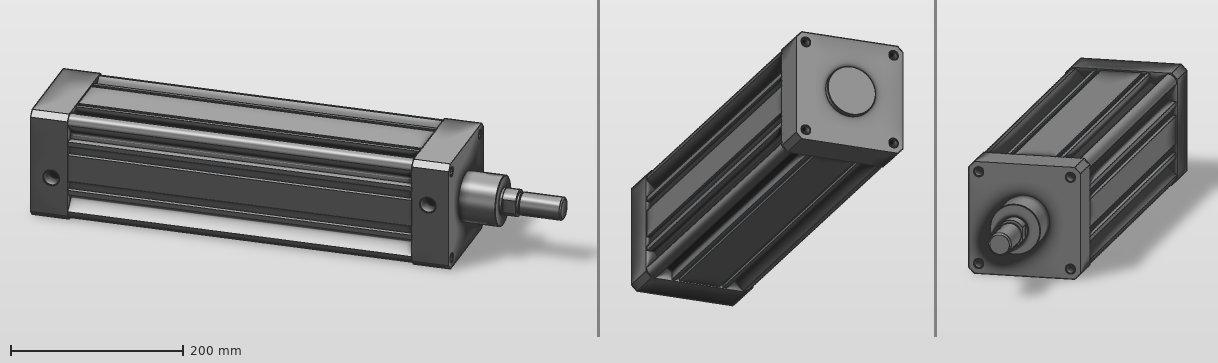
import cadquery as cq
import math


total_length = 635.0
rear_boss_length = 6.5
cap_length = 45.0
tube_length = 419.0
front_boss_length = 45.0
tube_start = rear_boss_length + cap_length
tube_end = tube_start + tube_length
rod_start = tube_end + cap_length + front_boss_length

cap_side = 134.0
cap_corner_chamfer = 7.0
boss_diameter = 60.5
boss_chamfer = 0.5
bolt_spacing = 110.0
bolt_hole_diameter = 10.0
bolt_hole_depth = 19.0
port_diameter = 18.5
port_depth = 19.0
port_height = 14.0
port_inset = 25.5
hole_chamfer = 0.95

tube_half_side = 66.0
lobe_center = bolt_spacing / 2
lobe_radius = tube_half_side - lobe_center
valley_outer = 42.5
valley_inner = 37.5
valley_level = tube_half_side - (lobe_center - valley_outer)
valley_sag = (valley_outer - valley_inner) / 2 * math.tan(math.pi / 8)
land_level = 65.5
land_foot_rise = 2.0
land_foot_level = valley_level + land_foot_rise
groove_depth = 4.0

side_land_edge = 33.5
side_groove_outer = 28.0
side_groove_inner = 16.5
side_groove_lean = 0.95
top_land_edge = 34.0
top_groove_outer = 30.0
top_groove_inner = 25.0
top_groove_lean = 0.0

collar_diameter = 32.5
collar_length = 3.0
rod_diameter = 32.0
shank_length = 1.0
flats_length = 15.0
wrench_width = 27.0
neck_diameter = 25.0
neck_length = 2.5
thread_diameter = 27.0
thread_chamfer = 2.0


def cylinder_along_x(start, length, diameter):
    return cq.Workplane("YZ", origin=(start, 0, 0)).circle(diameter / 2).extrude(length)


def chamfered_hole(entry, inward, diameter, depth):
    """Cutting tool for a blind hole whose mouth widens in a small 45 degree chamfer."""
    radius = diameter / 2
    bore = cq.Solid.makeCylinder(radius, depth, entry, inward)
    mouth = cq.Solid.makeCone(radius + hole_chamfer, radius, hole_chamfer, entry, inward)
    return cq.Workplane(bore.fuse(mouth))


def end_cap(tube_face, outward, boss_length, port_z):
    """Square cap on one end of the tube; outward is -1 for the rear cap and +1 for the front cap."""
    outer_face = tube_face + outward * cap_length
    cap = (
        cq.Workplane("YZ", origin=(tube_face, 0, 0))
        .rect(cap_side, cap_side)
        .extrude(outward * cap_length)
        .edges("|X")
        .chamfer(cap_corner_chamfer)
    )

    boss = cylinder_along_x(outer_face, outward * boss_length, boss_diameter)
    boss = boss.faces(">X" if outward > 0 else "<X").chamfer(boss_chamfer)
    cap = cap.union(boss)

    for bolt_y in (-bolt_spacing / 2, bolt_spacing / 2):
        for bolt_z in (-bolt_spacing / 2, bolt_spacing / 2):
            entry = cq.Vector(outer_face, bolt_y, bolt_z)
            inward = cq.Vector(-outward, 0, 0)
            cap = cap.cut(chamfered_hole(entry, inward, bolt_hole_diameter, bolt_hole_depth))

    port_entry = cq.Vector(outer_face - outward * port_inset, -cap_side / 2, port_z)
    return cap.cut(chamfered_hole(port_entry, cq.Vector(0, 1, 0), port_diameter, port_depth))


def land_and_groove(land_edge, outer, inner, lean):
    """(offset, height) points from the foot of the land to the edge of the middle panel."""
    floor_level = land_level - groove_depth
    return [
        (land_edge, land_foot_level),
        (land_edge, land_level),
        (outer, land_level),
        (outer - lean, floor_level),
        (inner + lean, floor_level),
        (inner, land_level),
    ]


def on_face(face, offset, height):
    """Section point at an offset along a face and a height from the axis; face 0 is +Y, then +Z, -Y, -Z."""
    angle = face * math.pi / 2
    return (
        height * math.cos(angle) - offset * math.sin(angle),
        height * math.sin(angle) + offset * math.cos(angle),
    )


def make_tube():
    side_points = land_and_groove(side_land_edge, side_groove_outer, side_groove_inner, side_groove_lean)
    top_points = land_and_groove(top_land_edge, top_groove_outer, top_groove_inner, top_groove_lean)
    valley_middle = (valley_outer + valley_inner) / 2
    valley_bottom = valley_level - valley_sag
    lobe_tip = lobe_center + lobe_radius * math.sqrt(0.5)

    section = cq.Workplane("YZ", origin=(tube_start, 0, 0))
    section = section.moveTo(*on_face(0, -lobe_center, tube_half_side))
    for face in range(4):
        points = side_points if face % 2 == 0 else top_points
        section = section.lineTo(*on_face(face, -valley_outer, valley_level))
        section = section.threePointArc(
            on_face(face, -valley_middle, valley_bottom),
            on_face(face, -valley_inner, valley_level),
        )
        for offset, height in points:
            section = section.lineTo(*on_face(face, -offset, height))
        for offset, height in reversed(points):
            section = section.lineTo(*on_face(face, offset, height))
        section = section.lineTo(*on_face(face, valley_inner, valley_level))
        section = section.threePointArc(
            on_face(face, valley_middle, valley_bottom),
            on_face(face, valley_outer, valley_level),
        )
        section = section.lineTo(*on_face(face, lobe_center, tube_half_side))
        section = section.threePointArc(
            on_face(face, lobe_tip, lobe_tip),
            on_face(face + 1, -lobe_center, tube_half_side),
        )
    return section.close().extrude(tube_length)


def make_piston_rod():
    """Stepped rod with a collar, two wrench flats facing Y, a neck and a chamfered thread blank."""
    shank_start = rod_start + collar_length
    flats_start = shank_start + shank_length
    neck_start = flats_start + flats_length
    thread_start = neck_start + neck_length

    collar = cylinder_along_x(rod_start, collar_length, collar_diameter)
    shank = cylinder_along_x(shank_start, shank_length, rod_diameter)
    wrench_slab = (
        cq.Workplane("YZ", origin=(flats_start, 0, 0)).rect(wrench_width, rod_diameter).extrude(flats_length)
    )
    flats = cylinder_along_x(flats_start, flats_length, rod_diameter).intersect(wrench_slab)
    neck = cylinder_along_x(neck_start, neck_length, neck_diameter)
    thread = cylinder_along_x(thread_start, total_length - thread_start, thread_diameter)
    thread = thread.faces("<X or >X").chamfer(thread_chamfer)
    return collar.union(shank).union(flats).union(neck).union(thread)


rear_cap = end_cap(tube_start, -1, rear_boss_length, -port_height)
tube = make_tube()
front_cap = end_cap(tube_end, 1, front_boss_length, port_height)
piston_rod = make_piston_rod()

result = cq.Compound.makeCompound([rear_cap.val(), tube.val(), front_cap.val(), piston_rod.val()])